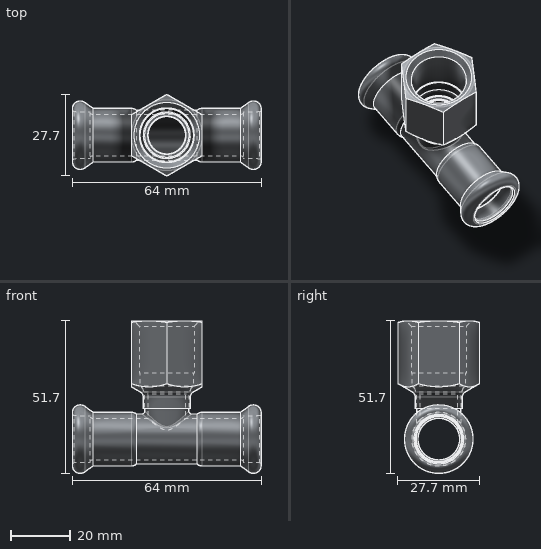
import cadquery as cq
import math


half_length = 32.0
bead_radius = 11.65
bead_round = 2.7
socket_radius = 9.15
socket_start = 12.0
flare_start = 24.95
waist_radius = 8.5
waist_half_length = 10.3

mouth_radius = 8.4
lip_radius = 8.0
lip_chamfer_depth = 0.6
lip_depth = 1.0
pipe_seat_radius = 15.8 / 2
pipe_seat_depth = 1.55
pipe_stop_depth = 6.0
stop_radius = 7.6
bore_radius = 14.0 / 2
stop_round_length = 0.95

branch_radius = 7.5
branch_bore_radius = 12.6 / 2
branch_counterbore_radius = 13.0 / 2
branch_counterbore_depth = 0.65
branch_root_fillet = 0.95

hex_across_flats = 24.0
fitting_bottom = 10.3
fitting_top = 40.0
neck_radius = 8.0
neck_fillet = 1.9
flare_root = 15.35
bottom_cone_angle = 30.0
top_chamfer_angle = 15.0
thread_radius = 18.6 / 2
thread_bottom = 22.4
relief_radius = 9.0
floor_radius = 15.8 / 2
floor_height = 16.0
floor_round_angle = 60.0
entry_radius = 22.2 / 2
entry_depth = entry_radius - thread_radius


def tangent_arc_radius(length, drop):
    """Radius of an arc that starts parallel to an axis and departs from it by drop."""
    return (length**2 + drop**2) / (2 * drop)


def round_middle(start, end):
    """Middle point (axial, radial) of an arc that leaves start parallel to the axis."""
    length = abs(end[0] - start[0])
    drop = abs(end[1] - start[1])
    radius = tangent_arc_radius(length, drop)
    half_angle = math.asin(length / radius) / 2
    axial_sign = math.copysign(1, end[0] - start[0])
    radial_sign = math.copysign(1, end[1] - start[1])
    return (
        start[0] + axial_sign * radius * math.sin(half_angle),
        start[1] + radial_sign * radius * (1 - math.cos(half_angle)),
    )


def run_outside():
    """Half of the run, revolved about X and mirrored."""
    center_x = half_length - bead_round
    center_r = bead_radius - bead_round

    dx = center_x - flare_start
    dr = center_r - socket_radius
    flare_angle = math.atan2(dr, dx) + math.asin(bead_round / math.hypot(dx, dr))
    tangent_point = (
        center_x - bead_round * math.sin(flare_angle),
        center_r + bead_round * math.cos(flare_angle),
    )
    waist_end = (waist_half_length, waist_radius)
    shoulder = (socket_start, socket_radius)
    half = (
        cq.Workplane("XY")
        .moveTo(0, 0)
        .lineTo(0, waist_radius)
        .lineTo(*waist_end)
        .threePointArc(round_middle(shoulder, waist_end), shoulder)
        .lineTo(flare_start, socket_radius)
        .lineTo(*tangent_point)
        .threePointArc(
            (center_x + bead_round * math.sqrt(0.5), center_r + bead_round * math.sqrt(0.5)),
            (half_length, center_r),
        )
        .lineTo(half_length, 0)
        .close()
        .revolve(360, (0, 0, 0), (1, 0, 0))
    )
    return half.union(half.mirror("YZ"))


def run_bore():
    """Passage through the run, with a stepped pipe seat at each end."""
    stop_x = half_length - pipe_stop_depth
    stop_edge = (stop_x, stop_radius)
    bore_edge = (stop_x - stop_round_length, bore_radius)
    half = (
        cq.Workplane("XY")
        .moveTo(0, 0)
        .lineTo(0, bore_radius)
        .lineTo(*bore_edge)
        .threePointArc(round_middle(bore_edge, stop_edge), stop_edge)
        .lineTo(stop_x, pipe_seat_radius)
        .lineTo(half_length - pipe_seat_depth, pipe_seat_radius)
        .lineTo(half_length - lip_depth, lip_radius)
        .lineTo(half_length - lip_chamfer_depth, lip_radius)
        .lineTo(half_length, mouth_radius)
        .lineTo(half_length, 0)
        .close()
        .revolve(360, (0, 0, 0), (1, 0, 0))
    )
    return half.union(half.mirror("YZ"))


def make_tee():
    branch = cq.Workplane("XY").circle(branch_radius).extrude(floor_height)
    body = run_outside().union(branch)

    saddle_box = cq.selectors.BoxSelector(
        (-waist_radius, -waist_radius, 0.65),
        (waist_radius, waist_radius, waist_radius + 0.65),
        boundingbox=True,
    )
    body = body.edges(saddle_box).fillet(branch_root_fillet)

    branch_bore = cq.Workplane("XY").circle(branch_bore_radius).extrude(floor_height)
    counterbore = (
        cq.Workplane("XY", origin=(0, 0, floor_height))
        .circle(branch_counterbore_radius)
        .extrude(-branch_counterbore_depth)
    )
    return body.cut(run_bore()).cut(branch_bore).cut(counterbore)


def fitting_outside():
    """Hexagon, with its flats facing +X and -X, trimmed by a turned profile."""
    flat_radius = hex_across_flats / 2
    corner_radius = flat_radius / math.cos(math.radians(30))
    cone_slope = math.tan(math.radians(bottom_cone_angle))
    chamfer_slope = math.tan(math.radians(top_chamfer_angle))

    hexagon = (
        cq.Workplane("XY", origin=(0, 0, fitting_bottom))
        .polygon(6, 2 * corner_radius)
        .extrude(fitting_top - fitting_bottom)
        .rotate((0, 0, 0), (0, 0, 1), 30)
    )
    outer_radius = corner_radius + 0.65
    cone_top = flare_root + (outer_radius - neck_radius) * cone_slope
    chamfer_bottom = fitting_top - (outer_radius - flat_radius) * chamfer_slope
    tangent = neck_fillet * math.tan(math.radians(90 - bottom_cone_angle) / 2)
    fillet_end = (
        neck_radius + tangent * math.cos(math.radians(bottom_cone_angle)),
        flare_root + tangent * math.sin(math.radians(bottom_cone_angle)),
    )
    turned = (
        cq.Workplane("XZ")
        .moveTo(0, fitting_bottom)
        .lineTo(neck_radius, fitting_bottom)
        .lineTo(neck_radius, flare_root - tangent)
        .tangentArcPoint(fillet_end, relative=False)
        .lineTo(outer_radius, cone_top)
        .lineTo(outer_radius, chamfer_bottom)
        .lineTo(flat_radius, fitting_top)
        .lineTo(0, fitting_top)
        .close()
        .revolve(360, (0, 0, 0), (0, 1, 0))
    )
    return hexagon.intersect(turned)


def fitting_bore():
    """Threaded hole with a rounded floor, and the socket that takes the branch."""
    lean = math.radians(floor_round_angle)
    floor_round = (relief_radius - floor_radius) / (1 - math.cos(lean))
    round_top = floor_height + floor_round * math.sin(lean)
    return (
        cq.Workplane("XZ")
        .moveTo(0, fitting_bottom)
        .lineTo(branch_radius, fitting_bottom)
        .lineTo(branch_radius, floor_height)
        .lineTo(floor_radius, floor_height)
        .threePointArc(
            (
                floor_radius + floor_round * (1 - math.cos(lean / 2)),
                floor_height + floor_round * math.sin(lean / 2),
            ),
            (relief_radius, round_top),
        )
        .lineTo(relief_radius, thread_bottom)
        .lineTo(thread_radius, thread_bottom)
        .lineTo(thread_radius, fitting_top - entry_depth)
        .lineTo(entry_radius, fitting_top)
        .lineTo(0, fitting_top)
        .close()
        .revolve(360, (0, 0, 0), (0, 1, 0))
    )


tee = make_tee()
fitting = fitting_outside().cut(fitting_bore())

result = cq.Compound.makeCompound([tee.val(), fitting.val()])